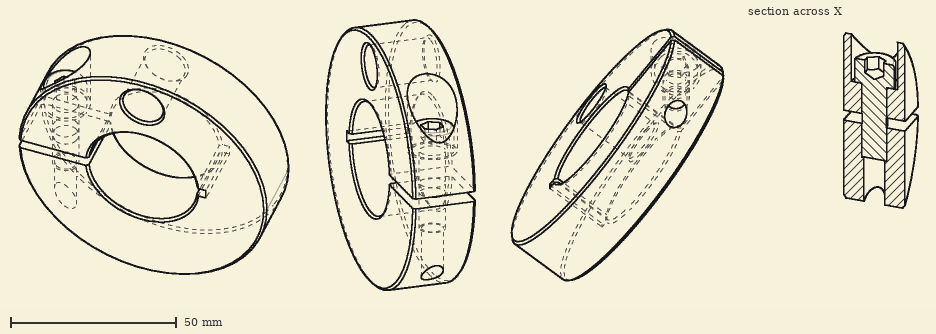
import cadquery as cq
import math

outer_diameter = 80.0
bore_diameter = 35.0
collar_width = 20.0
edge_chamfer = 0.75

slit_width = 3.2
notch_reach = 20.5

face_hole_diameter = 13.0
face_hole_height = 30.0

screw_x = -28.6
shank_diameter = 8.0
shank_length = 25.0
head_diameter = 13.0
head_height = 8.0
head_fillet = 0.8
socket_flats = 6.0
socket_depth = 4.0
socket_tip_angle = 120.0

seat_z = 12.0
counterbore_diameter = 15.0
thread_core_diameter = 6.65

outer_radius = outer_diameter / 2
head_top_z = seat_z + head_height
shank_end_z = seat_z - shank_length


def screw_cylinder(diameter, z_bottom, z_top):
    """Cylinder on the screw axis between two heights."""
    return (
        cq.Workplane("XY", origin=(screw_x, 0, z_bottom))
        .circle(diameter / 2)
        .extrude(z_top - z_bottom)
    )


def slit_cutter(x_start, x_end):
    """Slab on the parting plane, across the whole collar width."""
    return cq.Workplane("XY").box(
        x_end - x_start, collar_width, slit_width, centered=(False, True, True)
    ).translate((x_start, 0, 0))


def back_face():
    """Sketch plane on the +Y face of the collar, extruding toward -Y."""
    return cq.Workplane("XZ", origin=(0, collar_width / 2, 0))


def make_collar():
    ring = back_face().circle(outer_radius).circle(bore_diameter / 2).extrude(collar_width)
    face_hole = (
        back_face()
        .center(0, face_hole_height)
        .circle(face_hole_diameter / 2)
        .extrude(collar_width)
    )
    collar = ring.cut(face_hole).faces("<Y or >Y").edges().chamfer(edge_chamfer)

    collar = collar.cut(slit_cutter(-outer_radius, notch_reach))

    collar = collar.cut(screw_cylinder(counterbore_diameter, seat_z, outer_radius))
    collar = collar.cut(screw_cylinder(shank_diameter, shank_end_z, seat_z))
    return collar.cut(screw_cylinder(thread_core_diameter, -outer_radius, shank_end_z))


def make_socket():
    """Hexagonal socket, corners along X, ending in a conical drill tip."""
    corner_diameter = socket_flats / math.cos(math.pi / 6)
    corner_radius = corner_diameter / 2
    tip_height = corner_radius / math.tan(math.radians(socket_tip_angle / 2))
    hexagon = (
        cq.Workplane("XY", origin=(screw_x, 0, head_top_z))
        .polygon(6, corner_diameter)
        .extrude(-(socket_depth + tip_height))
    )
    drill = (
        cq.Workplane("XZ", origin=(screw_x, 0, head_top_z))
        .lineTo(corner_radius, 0)
        .lineTo(corner_radius, -socket_depth)
        .lineTo(0, -(socket_depth + tip_height))
        .close()
        .revolve(360, (0, 0), (0, 1))
    )
    return hexagon.intersect(drill)


def make_screw():
    head = screw_cylinder(head_diameter, seat_z, head_top_z).faces(">Z").edges().fillet(head_fillet)
    shank = screw_cylinder(shank_diameter, shank_end_z, seat_z)
    return head.union(shank).cut(make_socket())


collar = make_collar()
screw = make_screw()
result = cq.Compound.makeCompound([collar.solids().val(), screw.solids().val()])